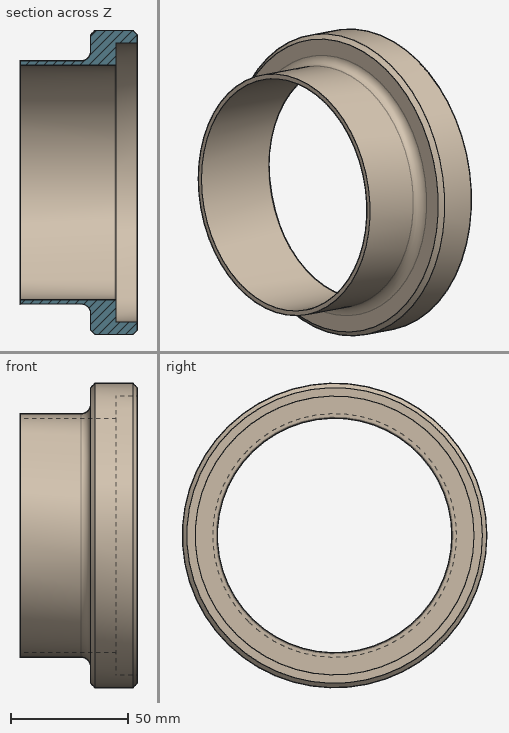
import cadquery as cq

total_length = 50.0
flange_diameter = 130.0
flange_thickness = 20.0
flange_chamfer = 2.0

pipe_diameter = 104.0
bore_diameter = 100.0
root_fillet = 4.0

recess_diameter = 119.0
recess_depth = 9.1
bore_edge_rounding = 0.5

flange_radius = flange_diameter / 2
pipe_radius = pipe_diameter / 2
bore_radius = bore_diameter / 2
recess_radius = recess_diameter / 2
recess_floor = total_length - recess_depth
flange_start = total_length - flange_thickness

half_section = (
    cq.Workplane("XY")
    .moveTo(0, bore_radius)
    .lineTo(0, pipe_radius)
    .lineTo(flange_start - root_fillet, pipe_radius)
    .radiusArc((flange_start, pipe_radius + root_fillet), -root_fillet)
    .lineTo(flange_start, flange_radius - flange_chamfer)
    .lineTo(flange_start + flange_chamfer, flange_radius)
    .lineTo(total_length - flange_chamfer, flange_radius)
    .lineTo(total_length, flange_radius - flange_chamfer)
    .lineTo(total_length, recess_radius)
    .lineTo(recess_floor, recess_radius)
    .lineTo(recess_floor, bore_radius + bore_edge_rounding)
    .radiusArc((recess_floor - bore_edge_rounding, bore_radius), bore_edge_rounding)
    .close()
)

result = half_section.revolve(360, (0, 0, 0), (1, 0, 0))